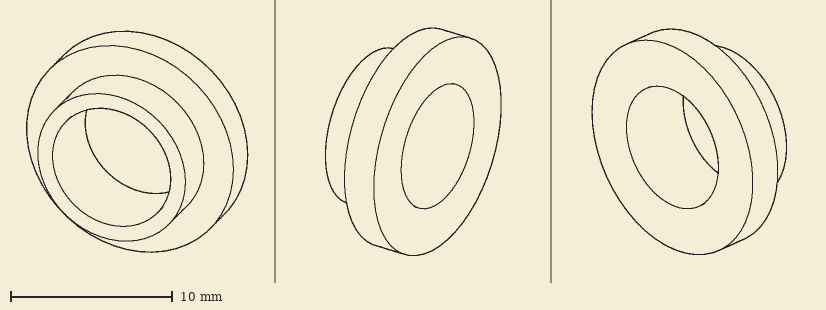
import cadquery as cq

flange_diameter = 14
sleeve_diameter = 10.0
bore_diameter = 8.0
total_length = 5.0
flange_thickness = 2.2
sleeve_length = total_length - flange_thickness


def ring(outer_diameter, length):
    """Bored ring extruded from the XZ plane toward -Y."""
    return (
        cq.Workplane("XZ")
        .circle(outer_diameter / 2)
        .circle(bore_diameter / 2)
        .extrude(length)
    )


flange = ring(flange_diameter, flange_thickness).translate((0, flange_thickness, 0))
sleeve = ring(sleeve_diameter, sleeve_length)

result = flange.union(sleeve)